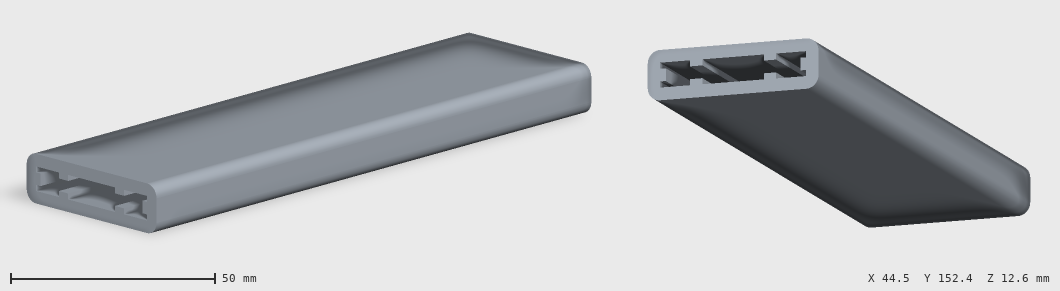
import cadquery as cq

width = 44.5
length = 152.4
height = 12.6

wall = 3.2
corner_radius = wall

rib_width = 3.2
rib_height = 1.5
rib_offset = 9.6

cavity_width = width - 2 * wall
cavity_height = height - 2 * wall


def bar(size_x, size_z, x=0.0, z=0.0):
    """Full-length rectangular bar centred at (x, z)."""
    return cq.Workplane("XY").box(size_x, length, size_z).translate((x, 0, z))


body = bar(width, height).edges("|Y").fillet(corner_radius)

cavity = bar(cavity_width, cavity_height)
rib_z = (cavity_height - rib_height) / 2
side_rib_x = (cavity_width - rib_height) / 2
for side in (-1, 1):
    cavity = cavity.cut(bar(rib_height, rib_width, x=side * side_rib_x))
    for level in (-1, 1):
        cavity = cavity.cut(bar(rib_width, rib_height, side * rib_offset, level * rib_z))

result = body.cut(cavity)